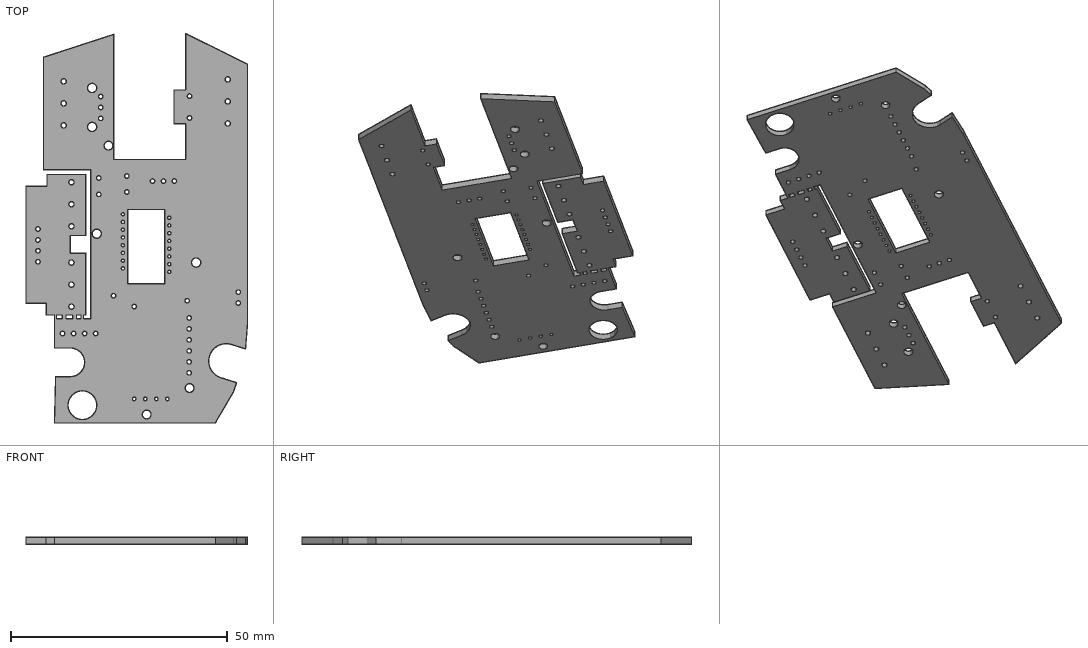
import cadquery as cq
import math

LENGTH = 89.8
WIDTH = 51.1
THICKNESS = 1.6

upper_left_x = 4.0
lower_left_x = 6.6
left_prong_tip = (20.3, 89.6)
left_shoulder_y = 84.3
right_prong_x = 36.8
right_shoulder_y = 82.7
prong_bay_floor_y = 60.8
step_underside_y = 58.4
step_x = 14.9
lug_x = 34.1
lug_top_y = 76.8
lug_bottom_y = 69.0
right_taper_top_y = 22.9
right_notch_upper_corner = (50.65, 17.1)
right_notch_lower_corner = (48.6, 9.3)
lower_right_bend = (47.9, 7.2)
bottom_right_x = 43.6

left_notch_radius = 6.6 / 2
left_notch_center = (10.2, 14.0)
left_notch_mouth_x = 6.8
right_notch_radius = 8.0 / 2
right_notch_center = (46.2, 14.3)
right_notch_tilt = math.radians(17)

window_left, window_right = 23.5, 32.0
window_bottom, window_top = 32.15, 49.2

gap = 1.1
module_right_x = step_x - gap
module_top_y = step_underside_y - gap
module_bottom_y = 24.9
module_upper_step = (4.85, 54.6)
module_lower_step = (4.7, 27.6)
module_cutout_x = 10.2
module_cutout_bottom, module_cutout_top = 39.15, 43.2
gap_floor_y = 24.1
tab_spans = [(lower_left_x, 7.1), (8.35, 9.25), (10.8, 11.7), (12.7, 13.3)]

mounting_hole_center = (13.0, 4.1)
mounting_hole_diameter = 6.6
peg_diameter = 2.1
screw_diameter = 2.0
terminal_diameter = 1.2
pin_diameter = 1.0
small_pin_diameter = 0.76
chip_pin_diameter = 0.7

peg_rows = [
    ((15.3, 68.25), (15.3, 77.2), 2),
    ((16.3, 43.6), (39.2, 37.0), 2),
]
screw_rows = [
    ((19.0, 63.9), (19.0, 63.9), 1),
    ((37.7, 8.1), (37.7, 8.1), 1),
    ((27.8, 2.0), (27.8, 2.0), 1),
]
terminal_rows = [
    ((8.7, 68.6), (8.7, 78.75), 3),
    ((46.5, 69.1), (46.5, 79.2), 3),
    ((10.5, 45.35), (10.5, 55.5), 3),
    ((10.5, 26.85), (10.5, 37.0), 3),
]
pin_rows = [
    ((17.2, 70.2), (17.2, 75.25), 3),
    ((37.7, 70.3), (37.7, 75.3), 2),
    ((23.3, 53.25), (23.3, 56.9), 2),
    ((16.8, 52.7), (16.8, 56.5), 2),
    ((29.2, 55.8), (34.2, 55.8), 3),
    ((2.8, 37.2), (2.8, 44.7), 4),
    ((48.9, 27.7), (48.9, 30.2), 2),
    ((20.2, 29.4), (20.2, 29.4), 1),
    ((37.2, 28.2), (37.2, 28.2), 1),
    ((25.0, 26.85), (25.0, 26.85), 1),
    ((37.6, 11.6), (37.6, 24.25), 6),
    ((8.4, 20.65), (16.1, 20.65), 4),
]
small_pin_rows = [((25.0, 5.6), (32.6, 5.6), 4)]
chip_pin_rows = [
    ((22.4, 35.65), (22.4, 48.1), 8),
    ((33.05, 34.8), (33.05, 47.3), 8),
]


def box(left, bottom, right, top):
    """Full-thickness block over the given rectangle."""
    size = (right - left, top - bottom, THICKNESS)
    return cq.Workplane("XY").box(*size, centered=False).translate((left, bottom, 0))


def row_centers(first, last, count):
    """Evenly spaced points from first to last."""
    intervals = max(count - 1, 1)
    spacing_x = (last[0] - first[0]) / intervals
    spacing_y = (last[1] - first[1]) / intervals
    return [(first[0] + i * spacing_x, first[1] + i * spacing_y) for i in range(count)]


def main_board():
    """Main board outline, with the prong bay at the top and a round-ended notch on each side."""
    left_x, left_y = left_notch_center
    right_x, right_y = right_notch_center
    across = (
        right_notch_radius * math.sin(right_notch_tilt),
        right_notch_radius * math.cos(right_notch_tilt),
    )
    deepest = (right_x - across[1], right_y + across[0])
    return (
        cq.Workplane("XY")
        .moveTo(lower_left_x, 0)
        .lineTo(bottom_right_x, 0)
        .lineTo(*lower_right_bend)
        .lineTo(*right_notch_lower_corner)
        .lineTo(right_x - across[0], right_y - across[1])
        .threePointArc(deepest, (right_x + across[0], right_y + across[1]))
        .lineTo(*right_notch_upper_corner)
        .lineTo(WIDTH, right_taper_top_y)
        .lineTo(WIDTH, right_shoulder_y)
        .lineTo(right_prong_x, LENGTH)
        .lineTo(right_prong_x, lug_top_y)
        .lineTo(lug_x, lug_top_y)
        .lineTo(lug_x, lug_bottom_y)
        .lineTo(right_prong_x, lug_bottom_y)
        .lineTo(right_prong_x, prong_bay_floor_y)
        .lineTo(left_prong_tip[0], prong_bay_floor_y)
        .lineTo(*left_prong_tip)
        .lineTo(upper_left_x, left_shoulder_y)
        .lineTo(upper_left_x, step_underside_y)
        .lineTo(step_x, step_underside_y)
        .lineTo(step_x, gap_floor_y)
        .lineTo(lower_left_x, gap_floor_y)
        .lineTo(lower_left_x, left_y + left_notch_radius)
        .lineTo(left_x, left_y + left_notch_radius)
        .threePointArc((left_x + left_notch_radius, left_y), (left_x, left_y - left_notch_radius))
        .lineTo(left_notch_mouth_x, left_y - left_notch_radius)
        .close()
        .extrude(THICKNESS)
    )


def side_module():
    """Side module outline, stepped at both ends, with a cutout in its inner edge."""
    upper_x, upper_y = module_upper_step
    lower_x, lower_y = module_lower_step
    outline = [
        (0, lower_y),
        (lower_x, lower_y),
        (lower_x, module_bottom_y),
        (module_right_x, module_bottom_y),
        (module_right_x, module_cutout_bottom),
        (module_cutout_x, module_cutout_bottom),
        (module_cutout_x, module_cutout_top),
        (module_right_x, module_cutout_top),
        (module_right_x, module_top_y),
        (upper_x, module_top_y),
        (upper_x, upper_y),
        (0, upper_y),
    ]
    return cq.Workplane("XY").polyline(outline).close().extrude(THICKNESS)


def drill(board, diameter, rows):
    """Drill every hole of the rows through the board."""
    centers = []
    for first, last, count in rows:
        centers += row_centers(first, last, count)
    drills = cq.Workplane("XY").pushPoints(centers).circle(diameter / 2).extrude(THICKNESS)
    return board.cut(drills)


board = main_board().union(side_module())
for tab_left, tab_right in tab_spans:
    board = board.union(box(tab_left, gap_floor_y, tab_right, module_bottom_y))

board = board.cut(box(window_left, window_bottom, window_right, window_top))
board = drill(board, mounting_hole_diameter, [(mounting_hole_center, mounting_hole_center, 1)])
board = drill(board, peg_diameter, peg_rows)
board = drill(board, screw_diameter, screw_rows)
board = drill(board, terminal_diameter, terminal_rows)
board = drill(board, pin_diameter, pin_rows)
board = drill(board, small_pin_diameter, small_pin_rows)
board = drill(board, chip_pin_diameter, chip_pin_rows)

result = board